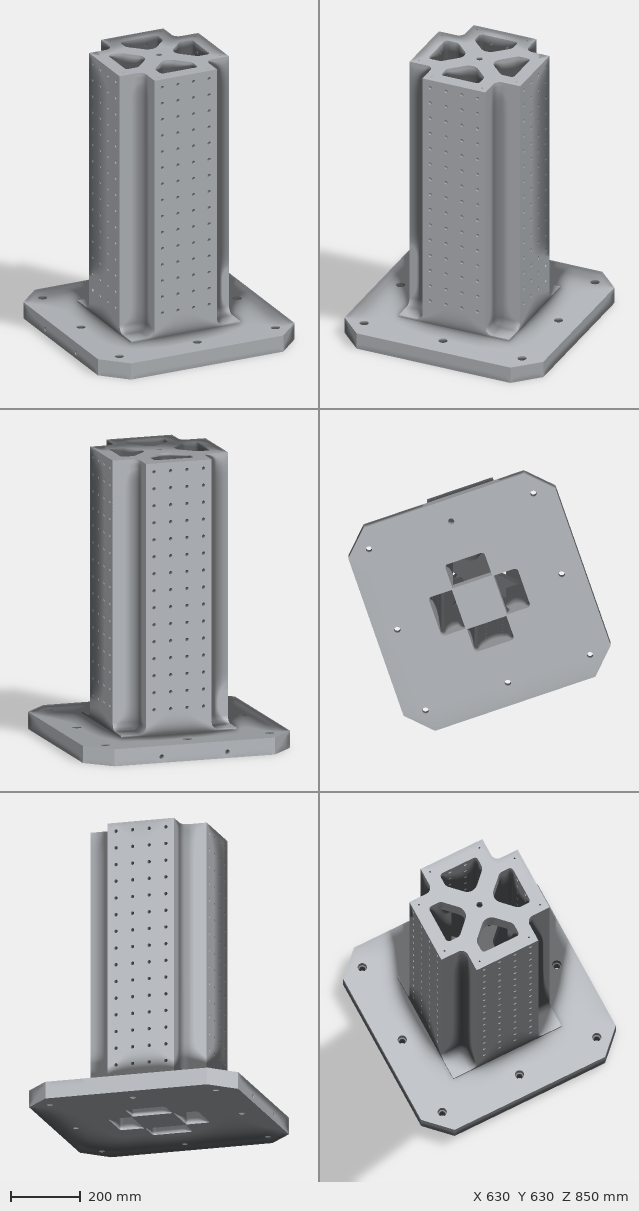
import cadquery as cq

plate_side = 630.0
plate_thickness = 50.0
plate_chamfer = 71.0

height = 850.0
column_side = 350.0
arm_width = 200.0
notch_fillet = 20.0
pad_height = 6.0

cavity_width = 120.0
cavity_length = 270.0
cavity_corner_radius = 10.0
floor_block_side = 127.0

web_depth = 60.0
web_thickness = 50.0
window_tip_radius = 30.0
window_shoulder_radius = 20.0

fixture_diameter = 10.0
fixture_pitch = height / 17
fixture_rows = 15
fixture_columns = 4
fixture_blind_depth = 30.0

bolt_spacing = 5 * fixture_pitch
bolt_diameter = 18.0
bolt_head_diameter = 26.0
bolt_head_depth = 17.0

pin_diameter = 5.0
pin_depth = 15.0
pin_along = 80.0
pin_out = 155.0
lifting_hole_diameter = 18.0
lifting_hole_depth = 40.0

side_hole_diameter = 14.0
side_hole_depth = 30.0
side_hole_offset = 2 * fixture_pitch
side_hole_height = 18.0

drill_tip_ratio = 0.6

column_half = column_side / 2
column_wall = (column_side - cavity_length) / 2
cavity_top = height - web_depth
stiffener_bottom = (height - web_depth) / 2


def bar(x_size, y_size, bottom, top):
    return cq.Workplane("XY", origin=(0, 0, bottom)).rect(x_size, y_size).extrude(top - bottom)


def cylinder(diameter, depth, start, direction):
    return cq.Solid.makeCylinder(diameter / 2, depth, cq.Vector(*start), cq.Vector(*direction))


def blind_hole(diameter, depth, start, direction):
    """Drilled hole with a cone tip below its full depth."""
    radius = diameter / 2
    axis = cq.Vector(*direction)
    tip_start = cq.Vector(*start) + axis * depth
    tip = cq.Solid.makeCone(radius, 0, radius * drill_tip_ratio, tip_start, axis)
    return cylinder(diameter, depth, start, direction).fuse(tip)


def on_four_sides(shapes):
    """Repeat shapes every quarter turn about the column axis."""
    origin = cq.Vector(0, 0, 0)
    axis = cq.Vector(0, 0, 1)
    return [shape.rotate(origin, axis, 90 * quarter) for quarter in range(4) for shape in shapes]


def base_plate():
    return bar(plate_side, plate_side, 0, plate_thickness).edges("|Z").chamfer(plate_chamfer)


def corner_notch():
    """Block that clears the +X +Y corner of the column, rounded on its three inner edges."""
    size = column_side
    center = (arm_width + size) / 2
    block = bar(size, size, plate_thickness + pad_height, height + size).translate((center, center, 0))
    inner_edges = block.edges("<X and <Y").add(block.edges("<X and <Z")).add(block.edges("<Y and <Z"))
    return inner_edges.fillet(notch_fillet).val()


def plus_prism(bottom, top):
    """Plus-shaped prism with rounded outer corners."""
    long_y = bar(cavity_width, cavity_length, bottom, top).edges("|Z").fillet(cavity_corner_radius)
    long_x = bar(cavity_length, cavity_width, bottom, top).edges("|Z").fillet(cavity_corner_radius)
    return long_y.union(long_x)


def cavity():
    """Hollow below the cap, split by the stiffener, around a square block in the floor."""
    lower = plus_prism(0, stiffener_bottom)
    upper = plus_prism(stiffener_bottom + web_depth, cavity_top)
    return lower.union(upper).cut(bar(floor_block_side, floor_block_side, 0, plate_thickness))


def web_window(bottom):
    """Five-sided opening on the +Y side of the diagonal webs."""
    side = cavity_width / 2
    outer = cavity_length / 2
    tip = web_thickness / 2 ** 0.5
    shoulder = tip + side
    outline = [(0, tip), (side, shoulder), (side, outer), (-side, outer), (-side, shoulder)]
    window = cq.Workplane("XY", origin=(0, 0, bottom)).polyline(outline).close().extrude(web_depth)
    window = window.edges("|Z and (not >Y) and (not <Y)").fillet(window_shoulder_radius)
    window = window.edges("|Z and <Y").fillet(window_tip_radius)
    return window.edges("|Z and >Y").fillet(cavity_corner_radius).val()


def fixture_holes():
    """Hole grid on the -Y face: inner columns pierce the wall, outer columns are blind."""
    holes = []
    for row in range(fixture_rows):
        z = height - (row + 0.5) * fixture_pitch
        for column_index in range(fixture_columns):
            x = (column_index - (fixture_columns - 1) / 2) * fixture_pitch
            start = (x, -column_half, z)
            if abs(x) < cavity_width / 2:
                holes.append(cylinder(fixture_diameter, column_wall, start, (0, 1, 0)))
            else:
                holes.append(blind_hole(fixture_diameter, fixture_blind_depth, start, (0, 1, 0)))
    return holes


def pin_holes():
    return [
        blind_hole(pin_diameter, pin_depth, (x, -pin_out, height), (0, 0, -1))
        for x in (-pin_along, pin_along)
    ]


def bolt_holes():
    plate = cq.Workplane("XY", origin=(0, 0, plate_thickness))
    steps = (-bolt_spacing, 0, bolt_spacing)
    places = [(x, y) for x in steps for y in steps if (x, y) != (0, 0)]
    shank = plate.pushPoints(places).circle(bolt_diameter / 2).extrude(-plate_thickness)
    head = plate.pushPoints(places).circle(bolt_head_diameter / 2).extrude(-bolt_head_depth)
    return shank.union(head)


def side_holes():
    return [
        blind_hole(side_hole_diameter, side_hole_depth, (x, -plate_side / 2, side_hole_height), (0, 1, 0))
        for x in (-side_hole_offset, side_hole_offset)
    ]


column = bar(column_side, column_side, plate_thickness, height)
result = base_plate().union(column).cut(cavity()).cut(bolt_holes())

side_cuts = [corner_notch(), web_window(cavity_top), web_window(stiffener_bottom)]
for shape in on_four_sides(side_cuts):
    result = result.cut(cq.Workplane(obj=shape))

lifting_hole = blind_hole(lifting_hole_diameter, lifting_hole_depth, (0, 0, height), (0, 0, -1))
drilled = on_four_sides(fixture_holes() + pin_holes()) + side_holes() + [lifting_hole]
result = result.cut(cq.Workplane(obj=cq.Compound.makeCompound(drilled)))